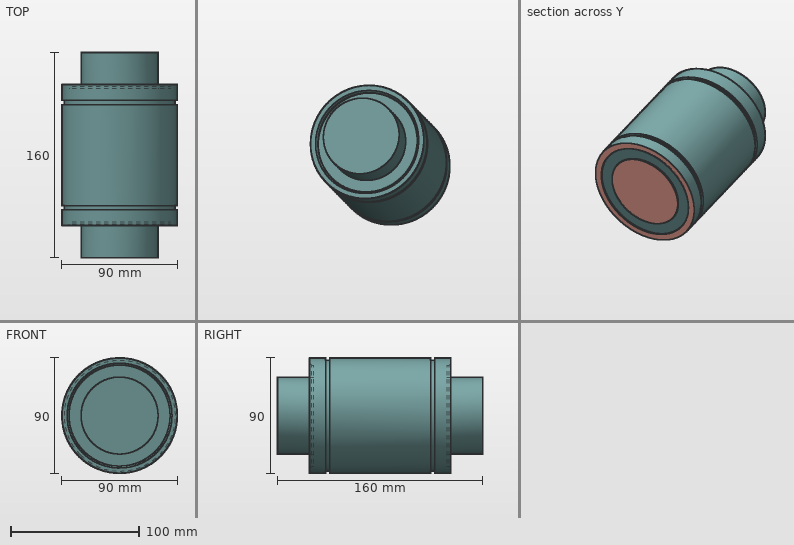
import cadquery as cq

shaft_diameter = 60.0
shaft_length = 160.0

sleeve_diameter = 90.0
sleeve_length = 110.0
sleeve_edge_chamfer = 0.2

groove_diameter = 86.5
groove_width = 3.15
groove_outer_span = 85.0

recess_diameter = 78.7
recess_depth = 3.0
recess_chamfer = 1.5


def cylinder_along_y(diameter, length):
    """Cylinder on the Y axis, centred on the origin."""
    return cq.Workplane("XZ", origin=(0, length / 2, 0)).circle(diameter / 2).extrude(length)


def retaining_groove(side):
    """Ring to cut from the sleeve; side is -1 or +1 along Y."""
    centre_y = side * (groove_outer_span - groove_width) / 2
    ring = cylinder_along_y(sleeve_diameter, groove_width)
    core = cylinder_along_y(groove_diameter, groove_width)
    return ring.cut(core).translate((0, centre_y, 0))


def end_recess(side):
    """Shallow chamfered bore to cut from one sleeve end; side is -1 or +1 along Y."""
    radius = recess_diameter / 2
    face_y = side * sleeve_length / 2
    floor_y = face_y - side * recess_depth
    chamfer_y = face_y - side * recess_chamfer
    return (
        cq.Workplane("XY")
        .moveTo(0, floor_y)
        .lineTo(radius, floor_y)
        .lineTo(radius, chamfer_y)
        .lineTo(radius + recess_chamfer, face_y)
        .lineTo(0, face_y)
        .close()
        .revolve(360, (0, 0, 0), (0, 1, 0))
    )


sleeve = cylinder_along_y(sleeve_diameter, sleeve_length).edges().chamfer(sleeve_edge_chamfer)
for end in (-1, 1):
    sleeve = sleeve.cut(retaining_groove(end)).cut(end_recess(end))

shaft = cylinder_along_y(shaft_diameter, shaft_length)
result = sleeve.union(shaft)